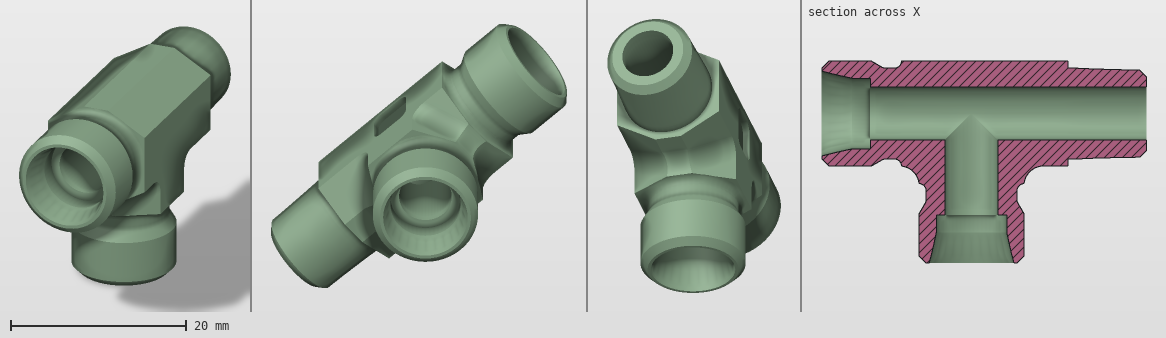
import cadquery as cq
import math

across_flats = 12.0
collar_radius = across_flats / 2
port_length = 17.05
shoulder_distance = 8.0
run_back = 11.03
overall_length = 37
taper_end = overall_length - port_length
crotch_radius = 2.2
corner_flat_width = 3.0
facet_slope = math.radians(30)

neck_radius = 5.2
neck_length = 1.78
neck_blend_radius = 0.9
collar_slope = math.radians(30)
end_chamfer = 0.8

mouth_radius = 4.8
seat_depth = 3.48
tube_radius = 4.0
socket_depth = 5.5
bore_diameter = 6.0

taper_collar_length = 1.0
taper_tip_radius = 5.0
taper_chamfer = 0.8

panel_size = 4.95
panel_corner_radius = 1.1
panel_depth = 0.78


def run_blank():
    """Run along Y with a faceted top, solid down to the branch shoulder over its whole length."""
    half_width = across_flats / 2
    half_flat = corner_flat_width / 2
    slope_drop = (half_width - half_flat) * math.tan(facet_slope)
    outline = [
        (half_width, -shoulder_distance),
        (half_width, half_width - slope_drop),
        (half_flat, half_width),
        (-half_flat, half_width),
        (-half_width, half_width - slope_drop),
        (-half_width, -shoulder_distance),
    ]
    blank = cq.Workplane("XZ").polyline(outline).close().extrude(shoulder_distance + run_back)
    return blank.translate((0, run_back, 0))


def crotch_cutter(slope, x_side, y_side):
    """Wedge outside one facet of the run and the matching facet of the branch, with a rounded edge.

    The facets tilt by the slope angle toward x_side and meet in the plane z = -y * y_side.
    """
    rise = x_side * math.tan(slope)
    edge_point = cq.Vector(x_side * corner_flat_width / 2, y_side * across_flats / 2, -across_flats / 2)
    edge_direction = cq.Vector(1, -rise * y_side, rise).normalized()
    run_normal = cq.Vector(x_side * math.sin(slope), 0, -math.cos(slope))
    branch_normal = cq.Vector(x_side * math.sin(slope), y_side * math.cos(slope), 0)
    along_run = edge_direction.cross(run_normal) * y_side
    reach = 3 * across_flats
    opening_angle = math.pi - run_normal.getAngle(branch_normal)
    plane = cq.Plane(origin=edge_point, xDir=along_run, normal=edge_direction * -y_side)
    wedge = (
        cq.Workplane(plane)
        .polyline([
            (0, 0),
            (reach, 0),
            (reach, reach),
            (reach * math.cos(opening_angle), reach * math.sin(opening_angle)),
        ])
        .close()
        .extrude(reach, both=True)
    )
    edge = wedge.edges(cq.selectors.NearestToPointSelector(edge_point.toTuple()))
    return edge.fillet(crotch_radius)


def tube_port_body():
    """Turned port along +Z, with an undercut neck between the shoulder and the collar."""
    undercut_radius = collar_radius - neck_radius
    neck_end = shoulder_distance + neck_length
    half_slope = collar_slope / 2
    blend_mid = (neck_radius + neck_blend_radius * (1 - math.cos(half_slope)),
                 neck_end + neck_blend_radius * math.sin(half_slope))
    blend_end = (neck_radius + neck_blend_radius * (1 - math.cos(collar_slope)),
                 neck_end + neck_blend_radius * math.sin(collar_slope))
    collar_start = blend_end[1] + (collar_radius - blend_end[0]) / math.tan(collar_slope)
    fillet_sag = undercut_radius * (1 - math.sqrt(0.5))
    return (
        cq.Workplane("XZ")
        .moveTo(0, shoulder_distance)
        .lineTo(collar_radius, shoulder_distance)
        .threePointArc((neck_radius + fillet_sag, shoulder_distance + fillet_sag),
                       (neck_radius, shoulder_distance + undercut_radius))
        .lineTo(neck_radius, neck_end)
        .threePointArc(blend_mid, blend_end)
        .lineTo(collar_radius, collar_start)
        .lineTo(collar_radius, port_length - end_chamfer)
        .lineTo(collar_radius - end_chamfer, port_length)
        .lineTo(0, port_length)
        .close()
        .revolve(360, (0, 0, 0), (0, 1, 0))
    )


def tube_socket():
    """Cutter along +Z: conical seat followed by a cylindrical tube stop."""
    return (
        cq.Workplane("XZ")
        .moveTo(0, port_length)
        .lineTo(mouth_radius, port_length)
        .lineTo(tube_radius, port_length - seat_depth)
        .lineTo(tube_radius, port_length - socket_depth)
        .lineTo(0, port_length - socket_depth)
        .close()
        .revolve(360, (0, 0, 0), (0, 1, 0))
    )


def tapered_end():
    """Tapered male end along +Z."""
    return (
        cq.Workplane("XZ")
        .moveTo(0, run_back)
        .lineTo(neck_radius, run_back)
        .lineTo(neck_radius, run_back + taper_collar_length)
        .lineTo(taper_tip_radius, taper_end - taper_chamfer)
        .lineTo(taper_tip_radius - taper_chamfer, taper_end)
        .lineTo(0, taper_end)
        .close()
        .revolve(360, (0, 0, 0), (0, 1, 0))
    )


def bore(start, end):
    return cq.Workplane("XY").circle(bore_diameter / 2).extrude(end - start).translate((0, 0, start))


def toward_front(shape):
    """Turn a shape built along +Z to point along -Y."""
    return shape.rotate((0, 0, 0), (1, 0, 0), 90)


def toward_back(shape):
    """Turn a shape built along +Z to point along +Y."""
    return shape.rotate((0, 0, 0), (1, 0, 0), -90)


def downward(shape):
    """Turn a shape built along +Z to point along -Z."""
    return shape.rotate((0, 0, 0), (1, 0, 0), 180)


body = run_blank()
for y_side in (-1, 1):
    body = body.cut(crotch_cutter(0, 1, y_side))
    for x_side in (-1, 1):
        body = body.cut(crotch_cutter(facet_slope, x_side, y_side))

body = body.union(toward_front(tube_port_body()))
body = body.union(downward(tube_port_body()))
body = body.union(toward_back(tapered_end()))

body = body.cut(toward_front(tube_socket()))
body = body.cut(downward(tube_socket()))
body = body.cut(toward_back(bore(-port_length, taper_end)))
body = body.cut(downward(bore(0, port_length)))

panel = (
    cq.Workplane("XY")
    .box(panel_depth, panel_size, panel_size, centered=(False, True, True))
    .edges("|X")
    .fillet(panel_corner_radius)
    .translate((-across_flats / 2, 0, 0))
)
result = body.cut(panel)